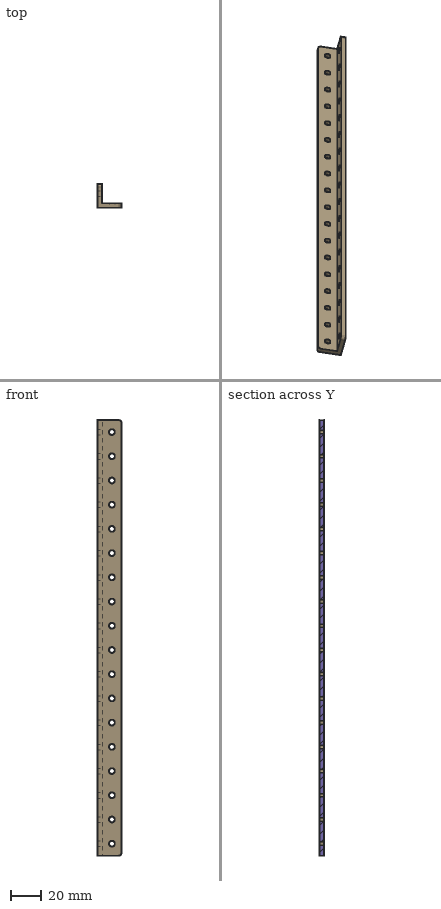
import cadquery as cq

leg_width = 16.0
thickness = 3.2
hole_count = 18
hole_pitch = 16.0
hole_diameter = 3.7
corner_radius = 2.0

length = hole_count * hole_pitch
hole_offset = (leg_width + thickness) / 2
hole_heights = [(i + 0.5) * hole_pitch for i in range(hole_count)]


def make_leg(plane_name, width_axis, thickness_axis, depth):
    """Flat strip along Z with rounded outer corners and a row of through holes."""
    plate = cq.Workplane(plane_name).rect(leg_width, length, centered=False).extrude(depth)
    plate = plate.faces(f">{width_axis}").edges(f"|{thickness_axis}").fillet(corner_radius)
    hole_points = [(hole_offset, height) for height in hole_heights]
    holes = cq.Workplane(plane_name).pushPoints(hole_points).circle(hole_diameter / 2).extrude(depth)
    return plate.cut(holes)


front_leg = make_leg("XZ", "X", "Y", -thickness)
side_leg = make_leg("YZ", "Y", "X", thickness)

result = front_leg.union(side_leg)